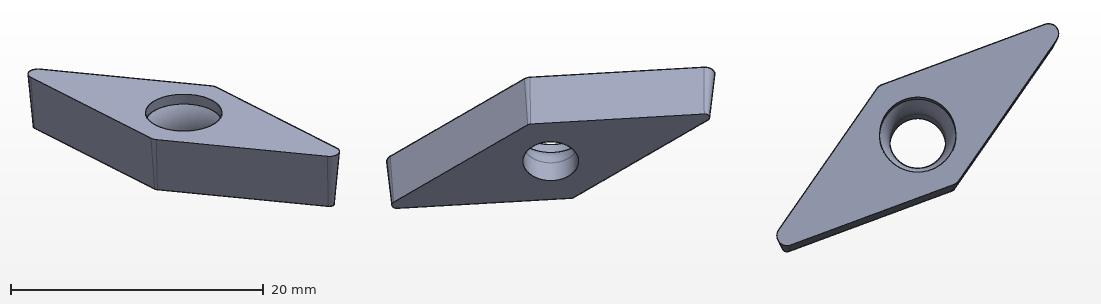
import cadquery as cq
import math

length = 26.73
width = 9.55
thickness = 4.75
nose_angle = 35.0
relief_angle = 5.0

mouth_radius = 3.02
mouth_depth = 0.88
bore_diameter = 4.4
bore_radius = bore_diameter / 2
seat_bottom_depth = 2.8

side = width / math.sin(math.radians(nose_angle))
half_sharp_length = side * (1 + math.cos(math.radians(nose_angle))) / 2
obtuse_corner_x = side * (1 - math.cos(math.radians(nose_angle))) / 2

elongation = half_sharp_length / (width / 2)
corner_radius = (half_sharp_length - length / 2) / (elongation - 1)


def make_body():
    """Rounded rhombus, z = 0 at the bottom, narrowing downwards from the top face."""
    corners = [
        (-half_sharp_length, -width / 2),
        (obtuse_corner_x, -width / 2),
        (half_sharp_length, width / 2),
        (-obtuse_corner_x, width / 2),
    ]
    outline = cq.Sketch().polygon(corners + corners[:1]).vertices().fillet(corner_radius)
    return (
        cq.Workplane("XY", origin=(0, 0, thickness))
        .placeSketch(outline)
        .extrude(-thickness, taper=relief_angle)
    )


def make_screw_hole():
    """Revolved cutter whose convex seat runs tangentially into the bore."""
    seat_top = thickness - mouth_depth
    seat_bottom = thickness - seat_bottom_depth
    seat_height = seat_top - seat_bottom
    seat_width = mouth_radius - bore_radius
    seat_radius = (seat_height**2 + seat_width**2) / (2 * seat_width)
    half_sweep = math.asin(seat_height / seat_radius) / 2
    seat_middle = (
        bore_radius + seat_radius * (1 - math.cos(half_sweep)),
        seat_bottom + seat_radius * math.sin(half_sweep),
    )
    return (
        cq.Workplane("XZ")
        .lineTo(bore_radius, 0)
        .lineTo(bore_radius, seat_bottom)
        .threePointArc(seat_middle, (mouth_radius, seat_top))
        .lineTo(mouth_radius, thickness)
        .lineTo(0, thickness)
        .close()
        .revolve(360, (0, 0, 0), (0, 1, 0))
    )


result = make_body().cut(make_screw_hole())